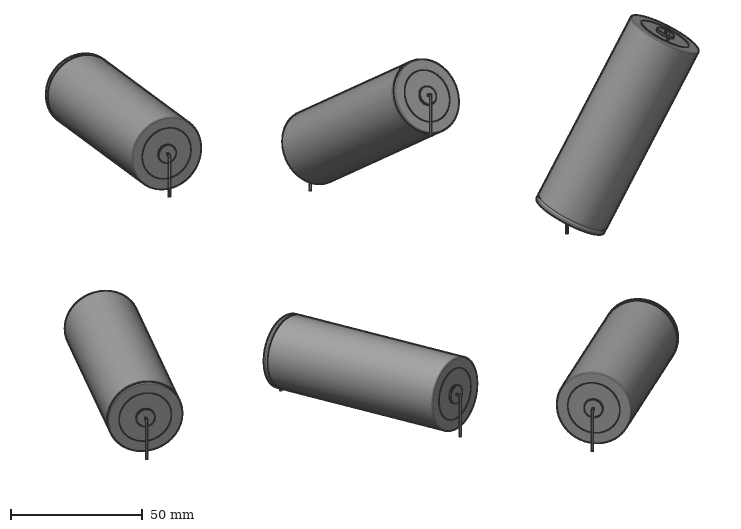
import cadquery as cq

overall_length = 85.9
lead_bottom = -16.5

can_length = 80.1
can_radius = 14.5
edge_radius = 0.35

groove_offset = 1.6
groove_width = 1.0
groove_depth = 0.35
groove_lip_radius = 0.2

recess_radius = 10.1
recess_depth = 0.1

boss_diameter = 7.2
boss_height = 0.8
lead_diameter = 0.9
bend_radius = 0.9

half_can = can_length / 2
boss_face = half_can + boss_height
lead_x = (overall_length - lead_diameter) / 2


def x_cylinder(radius, x_start, x_end):
    """Cylinder on the X axis between two positions."""
    return cq.Workplane("YZ", origin=(x_start, 0, 0)).circle(radius).extrude(x_end - x_start)


def make_can():
    """Round can with rounded rims and one rolled groove."""
    can = x_cylinder(can_radius, -half_can, half_can).faces("<X or >X").edges().fillet(edge_radius)
    groove_x = -half_can + groove_offset
    half_width = groove_width / 2
    groove = (
        cq.Workplane("XY")
        .moveTo(groove_x - half_width, can_radius)
        .threePointArc((groove_x, can_radius - groove_depth), (groove_x + half_width, can_radius))
        .close()
        .revolve(360, (0, 0, 0), (1, 0, 0))
    )
    can = can.cut(groove)
    lips = can.edges(
        cq.selectors.BoxSelector(
            (groove_x - groove_width, -2 * can_radius, -2 * can_radius),
            (groove_x + groove_width, 2 * can_radius, 2 * can_radius),
            boundingbox=True,
        )
    ).edges("%CIRCLE")
    return lips.fillet(groove_lip_radius)


def make_lead():
    """Wire leaving the +X boss along the axis, then bending straight down."""
    path = (
        cq.Workplane("XZ")
        .moveTo(half_can, 0)
        .lineTo(lead_x - bend_radius, 0)
        .radiusArc((lead_x, -bend_radius), bend_radius)
        .lineTo(lead_x, lead_bottom)
    )
    return cq.Workplane("YZ", origin=(half_can, 0, 0)).circle(lead_diameter / 2).sweep(path)


can = make_can()
recess = x_cylinder(recess_radius, half_can - recess_depth, half_can)
boss = x_cylinder(boss_diameter / 2, half_can - recess_depth, boss_face)
terminal = boss.union(make_lead())

result = (
    can.cut(recess)
    .cut(recess.mirror("YZ"))
    .union(terminal)
    .union(terminal.mirror("YZ"))
)